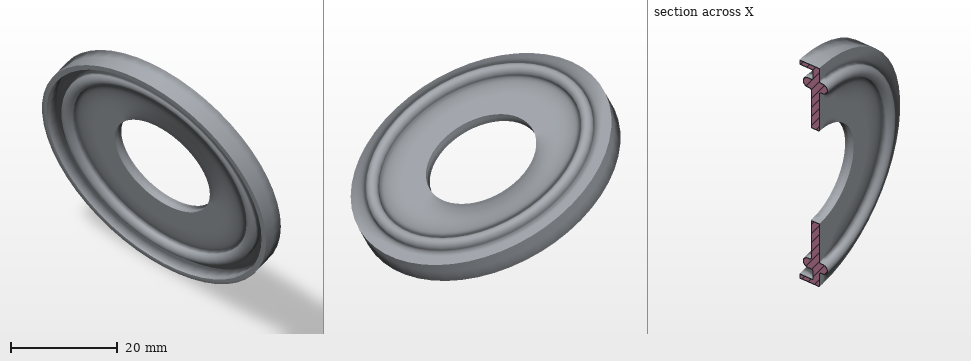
import cadquery as cq

outer_diameter = 52.7
lip_inner_diameter = 50.5
bead_outer_diameter = 45.9
bead_inner_diameter = 41.1
bore_diameter = 22.3
overall_depth = 6.4
bead_height = 1.85
web_thickness = 1.95
rim_floor_thickness = 1.55
root_fillet = 0.3

bead_tip_radius = (bead_outer_diameter - bead_inner_diameter) / 4
bead_center_radius = (bead_outer_diameter + bead_inner_diameter) / 4
back_face_y = overall_depth / 2 - bead_height
lip_front_y = -overall_depth / 2
web_front_y = back_face_y - web_thickness
rim_floor_y = back_face_y - rim_floor_thickness


def tube(outer, inner, front_y, back_y):
    """Plain ring between two Y positions."""
    profile = cq.Workplane("XY").moveTo((outer + inner) / 4, (front_y + back_y) / 2)
    return profile.rect((outer - inner) / 2, back_y - front_y).revolve(360, (0, 0, 0), (0, 1, 0))


def bead(face_y, outer_face_y, direction):
    """Round-topped ring with concave root fillets, rising along Y in the given direction.

    face_y is the surface inside the ring and sets the tip; outer_face_y is the surface outside it.
    """
    inner = bead_inner_diameter / 2
    outer = bead_outer_diameter / 2
    inner_root_y = face_y + direction * root_fillet
    outer_root_y = outer_face_y + direction * root_fillet
    shoulder_y = face_y + direction * (bead_height - bead_tip_radius)
    tip_y = face_y + direction * bead_height
    embedded_y = face_y - direction * web_thickness / 2
    return (
        cq.Workplane("XY")
        .moveTo(inner - root_fillet, embedded_y)
        .lineTo(inner - root_fillet, face_y)
        .radiusArc((inner, inner_root_y), -direction * root_fillet)
        .lineTo(inner, shoulder_y)
        .threePointArc((bead_center_radius, tip_y), (outer, shoulder_y))
        .lineTo(outer, outer_root_y)
        .radiusArc((outer + root_fillet, outer_face_y), -direction * root_fillet)
        .lineTo(outer + root_fillet, embedded_y)
        .close()
        .revolve(360, (0, 0, 0), (0, 1, 0))
    )


web = tube(bead_outer_diameter, bore_diameter, web_front_y, back_face_y)
rim_floor = tube(outer_diameter, bead_inner_diameter, rim_floor_y, back_face_y)
lip = tube(outer_diameter, lip_inner_diameter, lip_front_y, back_face_y)
front_bead = bead(web_front_y, rim_floor_y, -1)
back_bead = bead(back_face_y, back_face_y, 1)

result = web.union(rim_floor).union(lip).union(front_bead).union(back_bead)